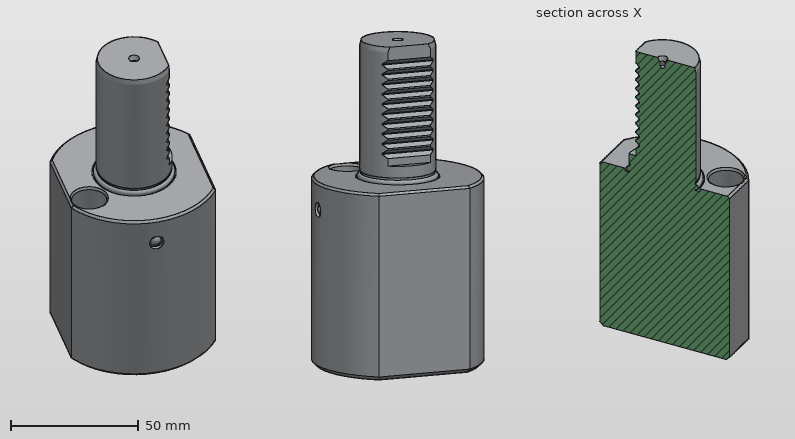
import cadquery as cq
import math

total_height = 131.5
shank_length = 55.0
body_top = total_height - shank_length
pad_height = 1.2
body_bottom = pad_height

body_radius = 68.0 / 2
rear_flat_y = 28.0
front_flat_y = -30.0
top_chamfer = 0.9
bottom_chamfer = 1.6

shank_radius = 15.0
shank_taper_height = 2.1
shank_taper_inset = 0.5

shank_flat_y = 12.0
shank_flat_bottom = 83.6
groove_depth = 1.6
groove_mouth_half_width = 1.7
groove_floor_half_width = 0.2
groove_count = 10
groove_row_length = 36.0
groove_pitch = groove_row_length / (groove_count - 1)
first_groove_z = total_height - 7.1

ring_tube_radius = 1.3
ring_outer_radius = 16.0
ring_center_radius = ring_outer_radius - ring_tube_radius
ring_center_z = body_top + 0.1
recess_radius = 16.6
recess_depth = ring_tube_radius
neck_radius = 14.7
neck_top = body_top + 2.4

drill_point_angle = 118.0

center_mouth_radius = 2.1
center_pilot_radius = 1.0
center_cone_angle = 60.0
center_cone_depth = (center_mouth_radius - center_pilot_radius) / math.tan(math.radians(center_cone_angle / 2))
center_pilot_depth = 2.0

port_x = 12.5
port_y = -21.7
port_radius = 7.0
port_chamfer_width = 0.5
port_chamfer_height = 1.0
port_depth = 15.0

plug_z = 65.6
plug_hole_radius = 2.9
plug_ball_radius = 2.5
plug_recess = 0.1
plug_hole_depth = 1.5

pad_x = 24.0
pad_base_radius = 4.7
pad_tip_radius = 3.5


def drill_tip(radius):
    """Height of the conical end that a drill of this radius leaves."""
    return radius / math.tan(math.radians(drill_point_angle / 2))


def turned(profile):
    """Solid of revolution about Z from (radius, z) points."""
    return cq.Workplane("XZ").polyline(profile).close().revolve(360, (0, 0), (0, 1))


def make_body():
    height = body_top - body_bottom
    cylinder = cq.Workplane("XY").workplane(offset=body_bottom).circle(body_radius).extrude(height)
    between_flats = (
        cq.Workplane("XY")
        .workplane(offset=body_bottom)
        .center(0, (rear_flat_y + front_flat_y) / 2)
        .rect(4 * body_radius, rear_flat_y - front_flat_y)
        .extrude(height)
    )
    body = cylinder.intersect(between_flats)
    body = body.faces(">Z").chamfer(top_chamfer)
    body = body.faces("<Z").chamfer(bottom_chamfer)
    recess = cq.Workplane("XY").workplane(offset=body_top - recess_depth).circle(recess_radius)
    return body.cut(recess.extrude(recess_depth))


def make_shank():
    shank = turned([
        (0, body_top - recess_depth),
        (neck_radius, body_top - recess_depth),
        (neck_radius, neck_top),
        (shank_radius, neck_top),
        (shank_radius, total_height - shank_taper_height),
        (shank_radius - shank_taper_inset, total_height),
        (0, total_height),
    ])
    return shank.cut(make_toothed_flat())


def make_toothed_flat():
    """Material removed by the flat and by its row of tapered grooves."""
    flat_cut = cq.Workplane("XY").box(
        2 * shank_radius, shank_radius, total_height - shank_flat_bottom, centered=(True, False, False)
    ).translate((0, shank_flat_y, shank_flat_bottom))
    for index in range(groove_count):
        z = first_groove_z - index * groove_pitch
        groove = (
            cq.Workplane("YZ")
            .polyline([
                (shank_flat_y, z + groove_mouth_half_width),
                (shank_flat_y - groove_depth, z + groove_floor_half_width),
                (shank_flat_y - groove_depth, z - groove_floor_half_width),
                (shank_flat_y, z - groove_mouth_half_width),
            ])
            .close()
            .extrude(shank_radius, both=True)
        )
        flat_cut = flat_cut.union(groove)
    return flat_cut


def make_ring():
    return (
        cq.Workplane("XZ")
        .center(ring_center_radius, ring_center_z)
        .circle(ring_tube_radius)
        .revolve(360, (-ring_center_radius, 0), (-ring_center_radius, 1))
    )


def make_center_drilling():
    cone_end = total_height - center_cone_depth
    pilot_end = cone_end - center_pilot_depth
    return turned([
        (0, total_height),
        (center_mouth_radius, total_height),
        (center_pilot_radius, cone_end),
        (center_pilot_radius, pilot_end),
        (0, pilot_end - drill_tip(center_pilot_radius)),
    ])


def make_port():
    port_end = body_top - port_depth
    port = turned([
        (0, body_top),
        (port_radius + port_chamfer_width, body_top),
        (port_radius, body_top - port_chamfer_height),
        (port_radius, port_end),
        (0, port_end - drill_tip(port_radius)),
    ])
    return port.translate((port_x, port_y, 0))


def make_plug_hole(side):
    return (
        cq.Workplane("YZ")
        .workplane(offset=side * (body_radius - plug_hole_depth))
        .center(0, plug_z)
        .circle(plug_hole_radius)
        .extrude(side * plug_hole_depth)
    )


def make_plug(side):
    """Ball sunk past its middle in the hole floor, leaving a dome."""
    ball_x = body_radius - plug_recess - plug_ball_radius
    ball = cq.Workplane("XY").sphere(plug_ball_radius).rotate((0, 0, 0), (0, 1, 0), 90)
    return ball.translate((side * ball_x, 0, plug_z))


def make_pad(side):
    return turned([
        (0, body_bottom),
        (pad_base_radius, body_bottom),
        (pad_tip_radius, body_bottom - pad_height),
        (0, body_bottom - pad_height),
    ]).translate((side * pad_x, 0, 0))


result = make_body().union(make_shank().union(make_ring()))
result = result.cut(make_center_drilling()).cut(make_port())
for side in (-1, 1):
    result = result.cut(make_plug_hole(side)).union(make_plug(side)).union(make_pad(side))